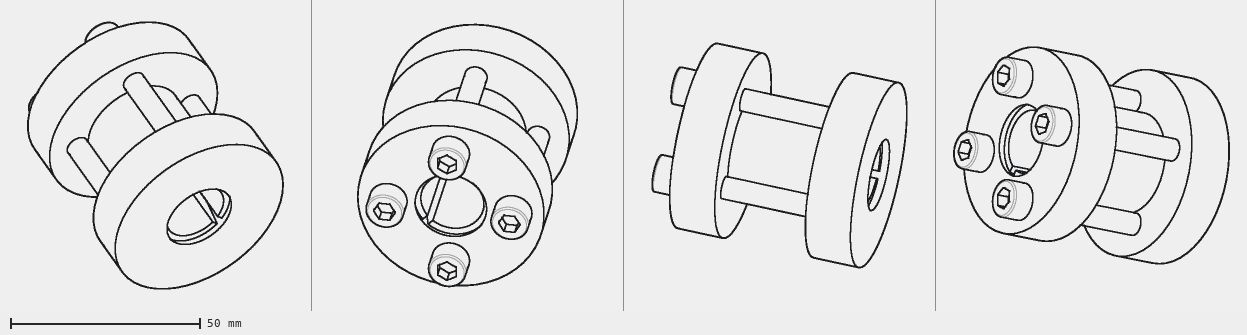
import cadquery as cq

overall_length = 56.0
disc_diameter = 50.0
disc_thickness = 12.5
head_height = 6.0
head_diameter = 10.0
head_fillet = 0.45
socket_sides = 6
socket_across_vertices = 5.75
socket_depth = 3.5
bolt_diameter = 6.0
bolt_circle_radius = 16.75
bolt_count = 4
seat_mouth_diameter = 19.15
sleeve_outer_diameter = 27.0
sleeve_bore_diameter = 16.9
sleeve_recess = 2.25
slit_width = 2.0
slit_angle = -45.0

front_disc_start = head_height
front_disc_end = front_disc_start + disc_thickness
rear_disc_start = overall_length - disc_thickness
sleeve_start = front_disc_start + sleeve_recess
sleeve_end = overall_length - sleeve_recess


def cylinder(diameter, start, end):
    """Solid cylinder on the X axis between two stations."""
    return cq.Workplane("YZ", origin=(start, 0, 0)).circle(diameter / 2).extrude(end - start)


def sleeve_body():
    """Solid barrel that fills both conical seats and the gap between the discs."""
    seat_radius = sleeve_outer_diameter / 2
    mouth_radius = seat_mouth_diameter / 2
    half_profile = [
        (front_disc_start, 0),
        (front_disc_start, mouth_radius),
        (front_disc_end, seat_radius),
        (rear_disc_start, seat_radius),
        (overall_length, mouth_radius),
        (overall_length, 0),
    ]
    return cq.Workplane("XY").polyline(half_profile).close().revolve(360, (0, 0, 0), (1, 0, 0))


def clamping_discs():
    """Two discs with conical seats that widen toward the gap between them."""
    front_disc = cylinder(disc_diameter, front_disc_start, front_disc_end)
    rear_disc = cylinder(disc_diameter, rear_disc_start, overall_length)
    return front_disc.union(rear_disc).cut(sleeve_body())


def split_sleeve():
    """Double-cone sleeve, set back from both outer disc faces, with one slit through its wall."""
    sleeve = sleeve_body().intersect(cylinder(disc_diameter, sleeve_start, sleeve_end))
    sleeve = sleeve.cut(cylinder(sleeve_bore_diameter, sleeve_start, sleeve_end))
    slit = (
        cq.Workplane("XY", origin=(sleeve_start, 0, 0))
        .box(sleeve_end - sleeve_start, sleeve_outer_diameter, slit_width, centered=(False, False, True))
        .rotate((0, 0, 0), (1, 0, 0), slit_angle)
    )
    return sleeve.cut(slit)


def bolt_head():
    """Rounded socket head on the X axis; the hexagon has a vertex on +Y."""
    head = cylinder(head_diameter, 0, head_height).faces("<X").edges().fillet(head_fillet)
    socket = cq.Workplane("YZ").polygon(socket_sides, socket_across_vertices).extrude(socket_depth)
    return head.cut(socket)


def bolt():
    """Socket-head bolt reaching from the front disc to the rear disc."""
    shank = cylinder(bolt_diameter, head_height, rear_disc_start)
    return bolt_head().union(shank)


result = clamping_discs().union(split_sleeve())

for index in range(bolt_count):
    placed_bolt = bolt().translate((0, bolt_circle_radius, 0))
    result = result.union(placed_bolt.rotate((0, 0, 0), (1, 0, 0), index * 360 / bolt_count))